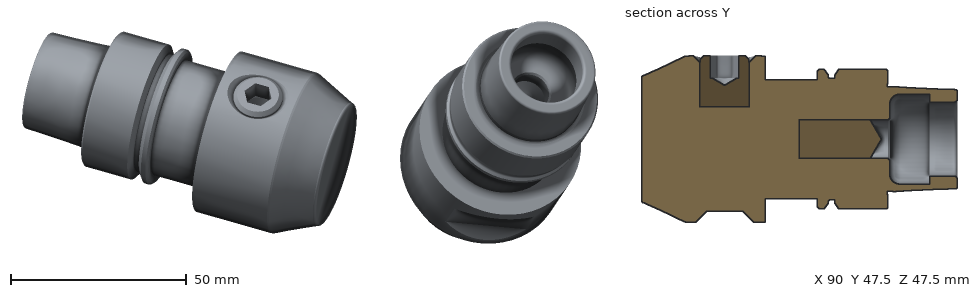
import cadquery as cq
import math

LENGTH = 90
HEAD_RADIUS = 47.5 / 2
COLLAR_RADIUS = 40.0 / 2
NECK_RADIUS = 34.0 / 2
GROOVE_RADIUS = 34.8 / 2
NOSE_RADIUS = 18.3

TAPER_TIP_RADIUS = 14.2
TAPER_BASE_RADIUS = 15.0
TAPER_BASE_X = 18.2
SHANK_NECK_X = 18.7
SHANK_NECK_RADIUS = 29.9 / 2
TIP_ROUND = 0.6

COLLAR_X = 19.8
COLLAR_CHAMFER = 0.45
RELIEF_RADIUS = 16.0
RELIEF_INNER_RADIUS = 15.3
RELIEF_DEPTH = 0.2
COLLAR_END_X = 33.8
GROOVE_START_X = 35.0
GROOVE_END_X = 36.7
GROOVE_WALL_RADIUS = 18.3
GROOVE_ROUND = 0.4
FLANGE_X = 38.0
FLANGE_END_X = 40.0
FLANGE_CHAMFER = 0.6

HEAD_X = 54.7
HEAD_EDGE_X = 77.3
HEAD_CONE_X = 77.85
HEAD_CONE_RADIUS = 23.6
NOSE_ROUND = 0.8

BORE_RADIUS = 21.0 / 2
BORE_ROUND = 1.0
BORE_STEP_X = 8.0
UNDERCUT_RADIUS = 25.5 / 2
UNDERCUT_FILLET = 2.8
BORE_END_X = 19.3
PIN_RADIUS = 10.9 / 2
PIN_HOLE_CHAMFER = 0.5
PIN_START_X = 21.6
PIN_TIP_LENGTH = 3.15
PIN_END_X = 45

SCREW_X = 66.3
SCREW_RADIUS = 14.0 / 2
SCREW_TOP_RADIUS = 11.9 / 2
SCREW_CHAMFER = SCREW_RADIUS - SCREW_TOP_RADIUS
SCREW_TOP_Z = HEAD_RADIUS
SCREW_LENGTH = 14.4
COUNTERSINK_Z = 22.0
COUNTERSINK_HEIGHT = 3.6
HEX_FLATS = 7.0
HEX_DEPTH = 6.3
HEX_TIP_LENGTH = 2.1
NOTCH_FLOOR_WIDTH = 10.3
NOTCH_DEPTH = 3.15


def rounded_corner(profile, start, end, center):
    """Add a quarter-circle from start to end about center."""
    radius = math.dist(start, center)
    middle_x = (start[0] + end[0]) / 2 - center[0]
    middle_y = (start[1] + end[1]) / 2 - center[1]
    stretch = radius / math.hypot(middle_x, middle_y)
    middle = (center[0] + middle_x * stretch, center[1] + middle_y * stretch)
    return profile.lineTo(*start).threePointArc(middle, end)


def spin(profile):
    """Revolve a closed profile about the X axis."""
    return profile.close().revolve(360, (0, 0, 0), (1, 0, 0))


def make_blank():
    """Outer turned shape of the holder, without its bores."""
    profile = cq.Workplane("XY").moveTo(0, 0)
    profile = rounded_corner(
        profile,
        (0, TAPER_TIP_RADIUS - TIP_ROUND),
        (TIP_ROUND, TAPER_TIP_RADIUS),
        (TIP_ROUND, TAPER_TIP_RADIUS - TIP_ROUND),
    )
    profile = (
        profile.lineTo(TAPER_BASE_X, TAPER_BASE_RADIUS)
        .lineTo(SHANK_NECK_X, SHANK_NECK_RADIUS)
        .lineTo(COLLAR_X + RELIEF_DEPTH, SHANK_NECK_RADIUS)
        .lineTo(COLLAR_X + RELIEF_DEPTH, RELIEF_INNER_RADIUS)
        .lineTo(COLLAR_X, RELIEF_RADIUS)
        .lineTo(COLLAR_X, COLLAR_RADIUS - COLLAR_CHAMFER)
        .lineTo(COLLAR_X + COLLAR_CHAMFER, COLLAR_RADIUS)
        .lineTo(COLLAR_END_X, COLLAR_RADIUS)
        .lineTo(GROOVE_START_X, GROOVE_WALL_RADIUS)
        .lineTo(GROOVE_START_X, GROOVE_RADIUS)
    )
    profile = rounded_corner(
        profile,
        (GROOVE_END_X - GROOVE_ROUND, GROOVE_RADIUS),
        (GROOVE_END_X, GROOVE_RADIUS + GROOVE_ROUND),
        (GROOVE_END_X - GROOVE_ROUND, GROOVE_RADIUS + GROOVE_ROUND),
    )
    profile = (
        profile.lineTo(GROOVE_END_X, GROOVE_WALL_RADIUS)
        .lineTo(FLANGE_X, COLLAR_RADIUS)
        .lineTo(FLANGE_END_X - FLANGE_CHAMFER, COLLAR_RADIUS)
        .lineTo(FLANGE_END_X, COLLAR_RADIUS - FLANGE_CHAMFER)
        .lineTo(FLANGE_END_X, NECK_RADIUS)
        .lineTo(HEAD_X, NECK_RADIUS)
        .lineTo(HEAD_X, HEAD_RADIUS)
        .lineTo(HEAD_EDGE_X, HEAD_RADIUS)
        .lineTo(HEAD_CONE_X, HEAD_CONE_RADIUS)
    )
    profile = rounded_corner(
        profile,
        (LENGTH - NOSE_ROUND, NOSE_RADIUS),
        (LENGTH, NOSE_RADIUS - NOSE_ROUND),
        (LENGTH - NOSE_ROUND, NOSE_RADIUS - NOSE_ROUND),
    )
    return spin(profile.lineTo(LENGTH, 0))


def make_bore():
    """Open shank bore, rounded undercut and chamfered pin hole."""
    profile = cq.Workplane("XY").moveTo(0, 0)
    profile = rounded_corner(
        profile,
        (0, BORE_RADIUS + BORE_ROUND),
        (BORE_ROUND, BORE_RADIUS),
        (BORE_ROUND, BORE_RADIUS + BORE_ROUND),
    )
    profile = (
        profile.lineTo(BORE_STEP_X, BORE_RADIUS)
        .lineTo(BORE_STEP_X, UNDERCUT_RADIUS)
    )
    profile = rounded_corner(
        profile,
        (BORE_END_X - UNDERCUT_FILLET, UNDERCUT_RADIUS),
        (BORE_END_X, UNDERCUT_RADIUS - UNDERCUT_FILLET),
        (BORE_END_X - UNDERCUT_FILLET, UNDERCUT_RADIUS - UNDERCUT_FILLET),
    )
    profile = (
        profile.lineTo(BORE_END_X, PIN_RADIUS + PIN_HOLE_CHAMFER)
        .lineTo(BORE_END_X + PIN_HOLE_CHAMFER, PIN_RADIUS)
        .lineTo(PIN_END_X, PIN_RADIUS)
        .lineTo(PIN_END_X, 0)
    )
    return spin(profile)


def make_pin():
    """Plain pin whose conical tip points to the open shank."""
    profile = (
        cq.Workplane("XY")
        .moveTo(PIN_START_X, 0)
        .lineTo(PIN_START_X + PIN_TIP_LENGTH, PIN_RADIUS)
        .lineTo(PIN_END_X, PIN_RADIUS)
        .lineTo(PIN_END_X, 0)
    )
    return spin(profile)


def make_screw_hole():
    """Radial blind hole with a 45 degree countersink."""
    bottom = SCREW_TOP_Z - SCREW_LENGTH
    mouth_z = COUNTERSINK_Z + COUNTERSINK_HEIGHT
    return (
        cq.Workplane("XZ", origin=(SCREW_X, 0, 0))
        .moveTo(0, bottom)
        .lineTo(SCREW_RADIUS, bottom)
        .lineTo(SCREW_RADIUS, COUNTERSINK_Z)
        .lineTo(SCREW_RADIUS + COUNTERSINK_HEIGHT, mouth_z)
        .lineTo(0, mouth_z)
        .close()
        .revolve(360, (0, 0, 0), (0, 1, 0))
    )


def make_notch():
    """Trapezoid channel along Y with 45 degree sides, under the head."""
    half_floor = NOTCH_FLOOR_WIDTH / 2
    half_mouth = half_floor + NOTCH_DEPTH
    return (
        cq.Workplane("XZ", origin=(SCREW_X, 0, 0))
        .moveTo(-half_mouth, -HEAD_RADIUS)
        .lineTo(-half_floor, NOTCH_DEPTH - HEAD_RADIUS)
        .lineTo(half_floor, NOTCH_DEPTH - HEAD_RADIUS)
        .lineTo(half_mouth, -HEAD_RADIUS)
        .close()
        .extrude(HEAD_RADIUS, both=True)
    )


def make_screw():
    """Set screw with a chamfered top and a hexagon socket on a conical floor."""
    socket_floor = SCREW_TOP_Z - HEX_DEPTH
    body = (
        cq.Workplane("XY", origin=(SCREW_X, 0, SCREW_TOP_Z - SCREW_LENGTH))
        .circle(SCREW_RADIUS)
        .extrude(SCREW_LENGTH)
        .faces(">Z")
        .chamfer(SCREW_CHAMFER)
    )
    corner_diameter = HEX_FLATS / math.cos(math.pi / 6)
    socket = (
        cq.Workplane("XY", origin=(SCREW_X, 0, socket_floor))
        .polygon(6, corner_diameter)
        .extrude(HEX_DEPTH)
    )
    socket_tip = cq.Solid.makeCone(
        HEX_FLATS / 2, 0, HEX_TIP_LENGTH,
        pnt=cq.Vector(SCREW_X, 0, socket_floor), dir=cq.Vector(0, 0, -1),
    )
    return body.cut(socket).cut(cq.Workplane(socket_tip))


holder = make_blank().cut(make_bore()).cut(make_screw_hole()).cut(make_notch())
pin = make_pin()
screw = make_screw()

result = cq.Compound.makeCompound([holder.val(), pin.val(), screw.val()])